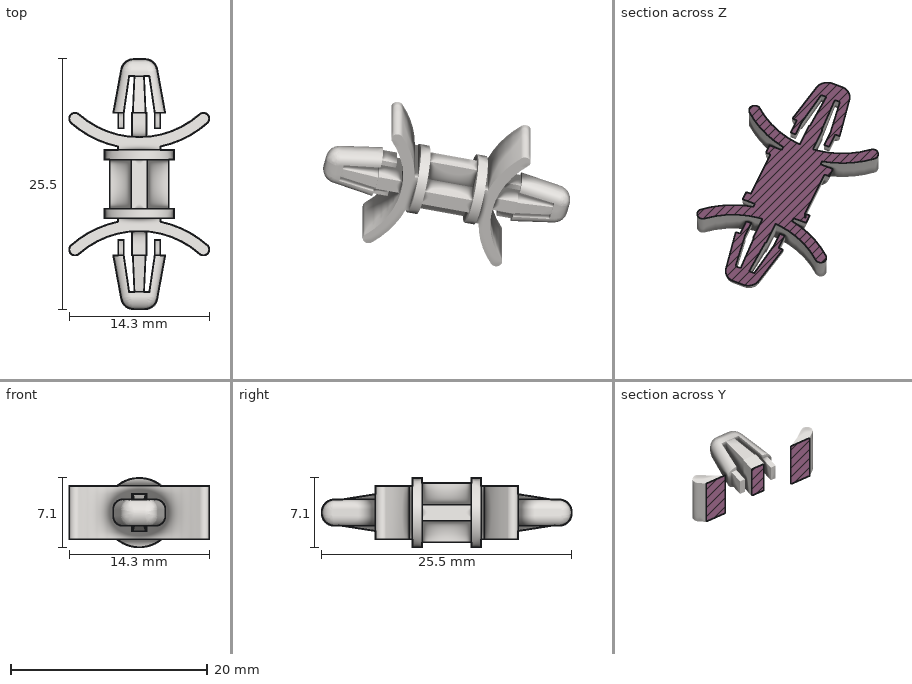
import cadquery as cq
import math

total_length = 25.52
end_y = total_length / 2

spacer_length = 5.0
cross_span = 6.05
cross_thickness = 1.6
flange_diameter = 7.1
flange_thickness = 1.0
flange_outer_y = spacer_length / 2 + flange_thickness

wing_span = 14.3
wing_height = 5.45
wing_thickness = 1.2
wing_inner_y = 4.8
wing_tip_y = 7.27
neck_width = 4.36

post_width = 1.5
post_height = 3.83
taper_width = 1.33
taper_height = 3.78
post_end_width = 1.0
post_end_height = 2.6

head_thickness = 2.7
barb_y = wing_tip_y
barb_width = 5.3
head_end_width = 3.3
head_corner_radius = 1.0
head_dome_radius = 1.33
slot_end_y = 11.0
slot_end_width = 2.05
slot_open_width = 3.15

tab_width = 0.59
tab_height = 1.79
tab_tip_y = 5.7


def box_along_y(width, height, y_start, y_end, x_center=0.0):
    """Box centred on Z = 0 that runs from y_start to y_end."""
    length = y_end - y_start
    return cq.Workplane("XY").box(width, length, height).translate((x_center, y_start + length / 2, 0))


def trapezoid(start_width, end_width, y_start, y_end, height):
    """Plate tapering in width along Y, centred on Z = 0."""
    return (
        cq.Workplane("XY")
        .moveTo(-start_width / 2, y_start)
        .lineTo(start_width / 2, y_start)
        .lineTo(end_width / 2, y_end)
        .lineTo(-end_width / 2, y_end)
        .close()
        .extrude(height / 2, both=True)
    )


def make_spacer():
    """Plus-shaped bar joining the two flanges."""
    half = spacer_length / 2
    upright = box_along_y(cross_thickness, cross_span, -half, half)
    return box_along_y(cross_span, cross_thickness, -half, half).union(upright)


def make_flange():
    return (
        cq.Workplane("XZ", origin=(0, flange_outer_y, 0))
        .circle(flange_diameter / 2)
        .extrude(flange_thickness)
    )


def make_wing():
    """Constant-thickness arc with round tips, bowed away from the flange."""
    tip_radius = wing_thickness / 2
    tip_x = wing_span / 2 - tip_radius
    tip_y = wing_tip_y - tip_radius
    middle_y = wing_inner_y - tip_radius
    rise = tip_y - middle_y
    middle_radius = (tip_x**2 + rise**2) / (2 * rise)
    center_y = middle_y + middle_radius
    sweep = math.asin(tip_x / middle_radius)

    def arc_point(radius, angle):
        return (radius * math.sin(angle), center_y - radius * math.cos(angle))

    inner = middle_radius - tip_radius
    outer = middle_radius + tip_radius
    cap_x = tip_x + tip_radius * math.cos(sweep)
    cap_y = tip_y + tip_radius * math.sin(sweep)
    wing = (
        cq.Workplane("XY")
        .moveTo(*arc_point(inner, -sweep))
        .threePointArc(arc_point(inner, 0), arc_point(inner, sweep))
        .threePointArc((cap_x, cap_y), arc_point(outer, sweep))
        .threePointArc(arc_point(outer, 0), arc_point(outer, -sweep))
        .threePointArc((-cap_x, cap_y), arc_point(inner, -sweep))
        .close()
        .extrude(wing_height / 2, both=True)
    )
    neck = box_along_y(neck_width, wing_height, flange_outer_y, middle_y)
    return wing.union(neck)


def make_post():
    """Straight post from inside the wing, then a taper that meets the head."""
    straight = box_along_y(post_width, post_height, wing_inner_y - wing_thickness / 2, barb_y)
    taper = (
        cq.Workplane("XZ", origin=(0, barb_y, 0))
        .rect(taper_width, taper_height)
        .workplane(offset=barb_y - slot_end_y)
        .rect(post_end_width, post_end_height)
        .loft()
    )
    return straight.union(taper)


def make_head():
    """Rounded arrow head, slotted to leave two legs, each with a tab."""
    head = trapezoid(barb_width, head_end_width, barb_y, end_y, head_thickness)
    head = head.faces(">Y").edges().fillet(head_dome_radius)
    head = head.edges("(<Z or >Z) and (not |X)").fillet(head_corner_radius)
    slot = trapezoid(slot_open_width, slot_end_width, barb_y, slot_end_y, head_thickness)
    head = head.cut(slot)
    tab_x = (slot_open_width + tab_width) / 2
    for side in (-1, 1):
        head = head.union(box_along_y(tab_width, tab_height, tab_tip_y, barb_y, side * tab_x))
    return head


half_fastener = make_flange().union(make_wing()).union(make_post()).union(make_head())
result = make_spacer().union(half_fastener).union(half_fastener.mirror("XZ"))